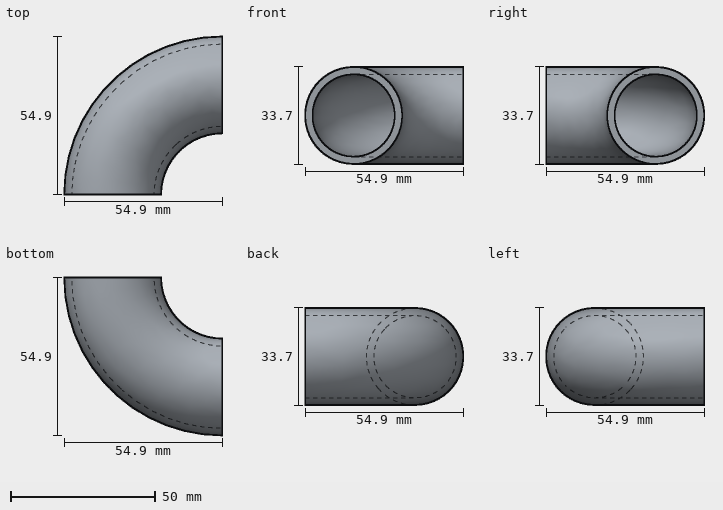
import cadquery as cq

overall_length = 54.85
outer_diameter = 33.7
wall_thickness = 2.6
bend_angle = 90.0

outer_radius = outer_diameter / 2
inner_radius = outer_radius - wall_thickness
bend_radius = overall_length - outer_radius

result = (
    cq.Workplane("XZ")
    .center(-bend_radius, 0)
    .circle(outer_radius)
    .circle(inner_radius)
    .revolve(bend_angle, (bend_radius, 0), (bend_radius, -1))
)